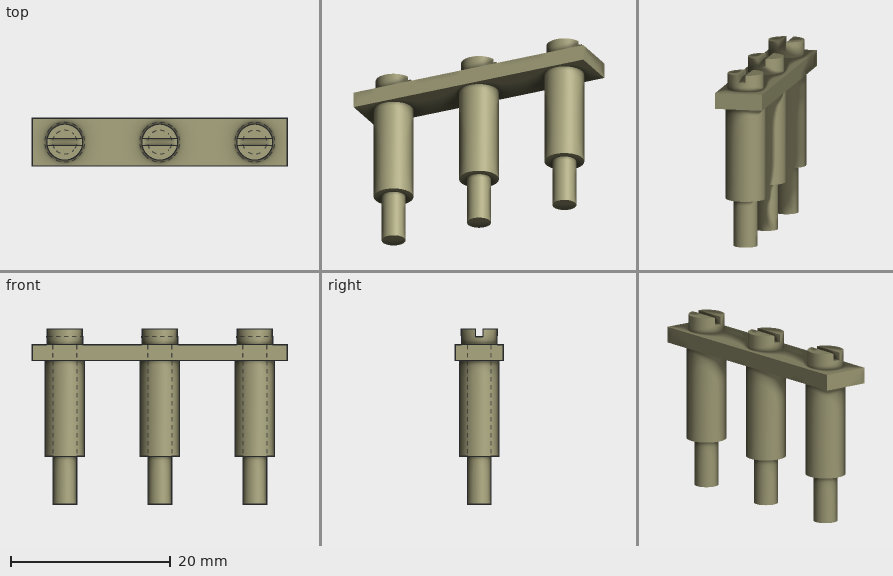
import cadquery as cq

bar_length = 32.0
bar_width = 6.0
bar_thickness = 2.0

screw_pitch = 11.9
screw_positions = [-screw_pitch, 0.0, screw_pitch]
head_diameter = 4.5
head_height = 2.0
shank_diameter = 3.0
shank_projection = 6.0
slot_width = 0.9
slot_depth = 1.0

sleeve_diameter = 5.0
sleeve_length = 12.0


def make_bar():
    """Flat bar with a through hole for each screw shank."""
    bar = cq.Workplane("XY").box(bar_length, bar_width, bar_thickness, centered=(True, True, False))
    hole_centers = [(x, 0) for x in screw_positions]
    return bar.faces(">Z").workplane().pushPoints(hole_centers).hole(shank_diameter)


def make_sleeve(x):
    """Plain tube hanging from the underside of the bar."""
    return (
        cq.Workplane("XY", origin=(x, 0, -sleeve_length))
        .circle(sleeve_diameter / 2)
        .circle(shank_diameter / 2)
        .extrude(sleeve_length)
    )


def make_screw(x):
    """Slotted cylindrical head on the bar, with a plain shank through bar and sleeve."""
    head_top = bar_thickness + head_height
    shank_length = bar_thickness + sleeve_length + shank_projection
    head = (
        cq.Workplane("XY", origin=(x, 0, bar_thickness))
        .circle(head_diameter / 2)
        .extrude(head_height)
    )
    shank = (
        cq.Workplane("XY", origin=(x, 0, bar_thickness))
        .circle(shank_diameter / 2)
        .extrude(-shank_length)
    )
    slot = (
        cq.Workplane("XY", origin=(x, 0, head_top))
        .rect(head_diameter, slot_width)
        .extrude(-slot_depth)
    )
    return head.union(shank).cut(slot)


bar = make_bar()
sleeves = [make_sleeve(x) for x in screw_positions]
screws = [make_screw(x) for x in screw_positions]

result = cq.Compound.makeCompound([body.solids().val() for body in [bar, *sleeves, *screws]])